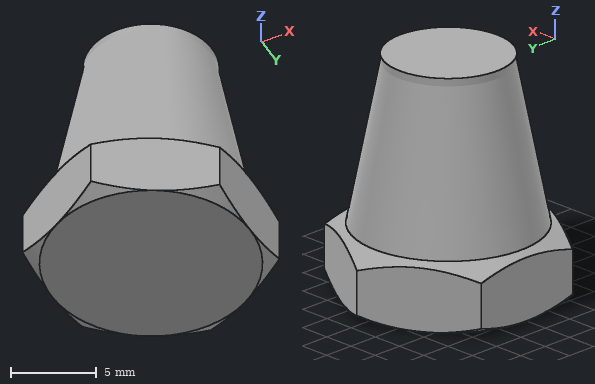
import cadquery as cq
import math

across_corners = 15.01
corner_radius = across_corners / 2
flat_radius = corner_radius * math.cos(math.radians(30))
chamfer_slope = math.tan(math.radians(30))
trim_margin = 0.15

total_height = 15.0
shoulder_height = 4.31
shoulder_radius = 5.99
tip_radius = 4.0
tip_height = 0.5


def hexagonal_prism():
    """Hexagonal bar with two corners on the Y axis."""
    return (
        cq.Workplane("XY")
        .polygon(6, across_corners)
        .extrude(total_height)
        .rotate((0, 0, 0), (0, 0, 1), 90)
    )


def turned_envelope():
    """Revolved profile: chamfered base, conical body and cylindrical tip."""
    rim_radius = corner_radius + trim_margin
    lower_rim = (rim_radius - flat_radius) * chamfer_slope
    upper_rim = shoulder_height - (rim_radius - shoulder_radius) * chamfer_slope
    return (
        cq.Workplane("XZ")
        .moveTo(0, 0)
        .lineTo(flat_radius, 0)
        .lineTo(rim_radius, lower_rim)
        .lineTo(rim_radius, upper_rim)
        .lineTo(shoulder_radius, shoulder_height)
        .lineTo(tip_radius, total_height - tip_height)
        .lineTo(tip_radius, total_height)
        .lineTo(0, total_height)
        .close()
        .revolve(360, (0, 0, 0), (0, 1, 0))
    )


result = hexagonal_prism().intersect(turned_envelope())